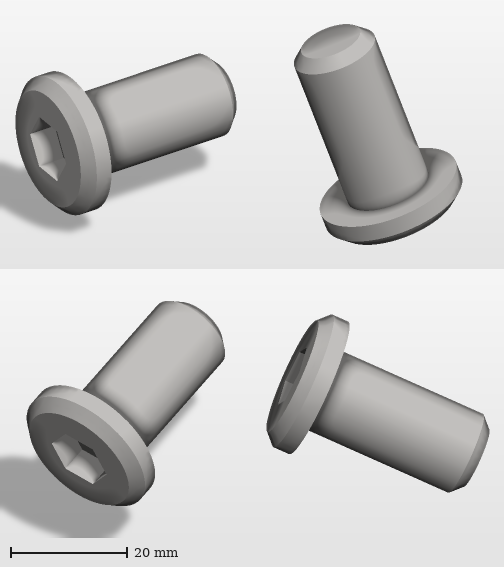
import cadquery as cq
import math

head_diameter = 25.0
head_height = 5.0
head_chamfer = 2.0
shank_diameter = 14.85
shank_length = 30.0
shank_chamfer = 2.0
hex_across_flats = 10.0
hex_depth = 5.0

hex_across_corners = hex_across_flats / math.cos(math.radians(30))


def cylinder_along_y(diameter, start_y, end_y):
    """Solid cylinder on the Y axis between two Y positions."""
    return cq.Workplane("XZ", origin=(0, end_y, 0)).circle(diameter / 2).extrude(end_y - start_y)


def make_head():
    """Flat disc head with a chamfered outer face."""
    head = cylinder_along_y(head_diameter, -head_height, 0)
    return head.faces("<Y").chamfer(head_chamfer)


def make_shank():
    """Plain shank with a chamfered tip."""
    shank = cylinder_along_y(shank_diameter, 0, shank_length)
    return shank.faces(">Y").chamfer(shank_chamfer)


def make_hex_socket():
    """Hexagonal drive socket, cut from the head face, with two corners on the X axis."""
    socket_floor_y = hex_depth - head_height
    return cq.Workplane("XZ", origin=(0, socket_floor_y, 0)).polygon(6, hex_across_corners).extrude(hex_depth)


result = make_head().union(make_shank()).cut(make_hex_socket())